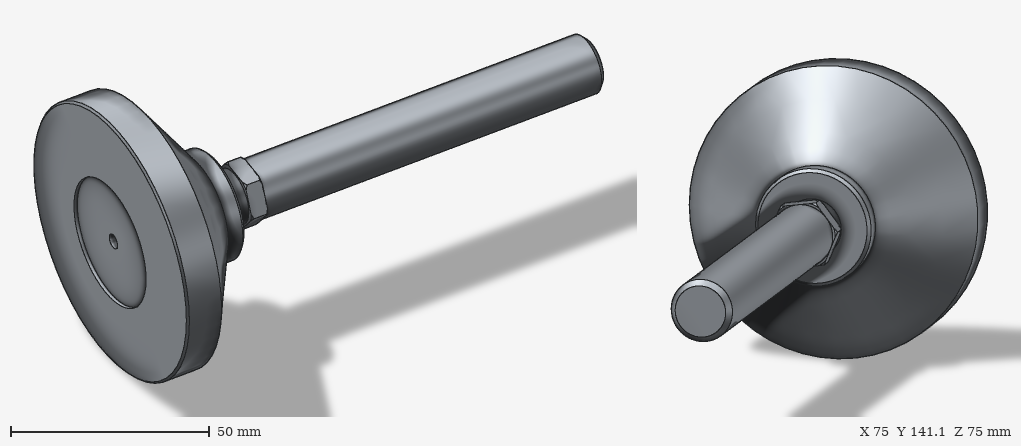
import cadquery as cq

total_length = 141.1

base_diameter = 75.0
rim_height = 10.0
bottom_chamfer = 0.5
collar_diameter = 30.0
collar_bottom = 25.7
collar_top = 30.8
collar_chamfer = 0.8
recess_diameter = 35.0
recess_depth = 1.0
hole_diameter = 4.0

stem_diameter = 16.0
stem_chamfer = 1.4
neck_diameter = 15.0
nut_bottom = 36.3
nut_top = 41.0
nut_across_flats = stem_diameter
nut_turn = 8.0
nut_edge_diameter = 17.2
nut_cone_height = 0.5
nut_corner_diameter = nut_across_flats / (3 ** 0.5 / 2)


def cylinder(diameter, bottom, top):
    """Round bar on the Y axis between two heights."""
    return cq.Workplane("XZ", origin=(0, bottom, 0)).circle(diameter / 2).extrude(bottom - top)


def make_base():
    """Conical foot with a collar, a shallow underside recess and a central hole."""
    rim_radius = base_diameter / 2
    collar_radius = collar_diameter / 2
    body = (
        cq.Workplane("XY")
        .moveTo(0, 0)
        .lineTo(rim_radius - bottom_chamfer, 0)
        .lineTo(rim_radius, bottom_chamfer)
        .lineTo(rim_radius, rim_height)
        .lineTo(collar_radius, collar_bottom)
        .lineTo(collar_radius, collar_top - collar_chamfer)
        .lineTo(collar_radius - collar_chamfer, collar_top)
        .lineTo(0, collar_top)
        .close()
        .revolve(360, (0, 0, 0), (0, 1, 0))
    )
    recess = cylinder(recess_diameter, 0, recess_depth)
    hole = cylinder(hole_diameter, 0, collar_top)
    return body.cut(recess).cut(hole)


def make_nut():
    """Hexagon with its corners trimmed by a cone at each end."""
    hexagon = (
        cq.Workplane("XZ", origin=(0, nut_bottom, 0))
        .polygon(6, nut_corner_diameter)
        .extrude(nut_bottom - nut_top)
        .rotate((0, 0, 0), (0, 1, 0), nut_turn)
    )
    edge_radius = nut_edge_diameter / 2
    corner_radius = nut_corner_diameter / 2
    trim = (
        cq.Workplane("XY")
        .moveTo(0, nut_bottom)
        .lineTo(edge_radius, nut_bottom)
        .lineTo(corner_radius, nut_bottom + nut_cone_height)
        .lineTo(corner_radius, nut_top - nut_cone_height)
        .lineTo(edge_radius, nut_top)
        .lineTo(0, nut_top)
        .close()
        .revolve(360, (0, 0, 0), (0, 1, 0))
    )
    return hexagon.intersect(trim)


def make_stem():
    """Long round stem with an integral hexagon and a neck standing on the collar."""
    shank = cylinder(stem_diameter, nut_top, total_length).faces(">Y").chamfer(stem_chamfer)
    neck = cylinder(neck_diameter, collar_top, nut_bottom)
    return neck.union(make_nut()).union(shank)


base = make_base()
stem = make_stem()

result = cq.Compound.makeCompound([base.val(), stem.val()])